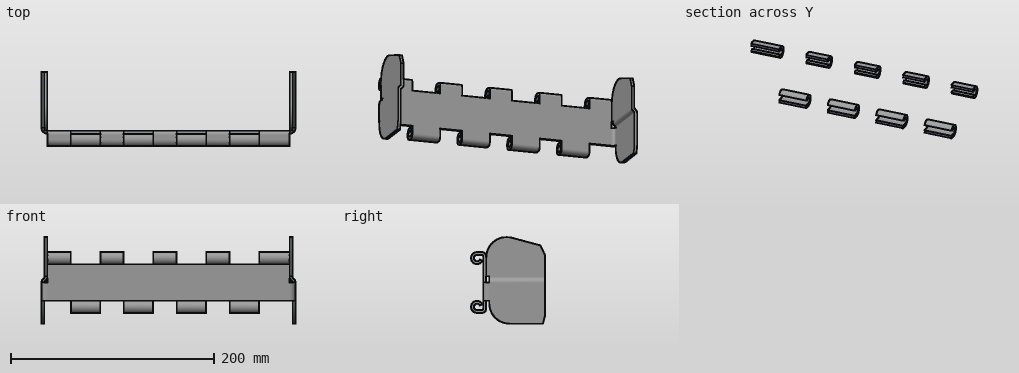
import cadquery as cq
import math


thickness = 3.0
tight_inner_radius = 1.0
tight_outer_radius = tight_inner_radius + thickness
fold_inner_radius = 3.0
fold_outer_radius = fold_inner_radius + thickness

overall_length = 250.0
overall_depth = 73.0
overall_height = 85.36
web_length = overall_length - 2 * fold_outer_radius
web_left = -web_length / 2

roll_inner_radius = 3.0
roll_outer_radius = roll_inner_radius + thickness
roll_tip_angle = 25.0
upper_knuckle_length = 23.0
lower_knuckle_length = 29.0
lower_knuckle_count = 4
knuckle_pitch = upper_knuckle_length + lower_knuckle_length
last_knuckle_length = web_length - lower_knuckle_count * knuckle_pitch
knuckle_span = 60.0
knuckle_edge = knuckle_span / 2
web_half_height = knuckle_edge - 2 * roll_outer_radius

ear_back = overall_depth - 2 * roll_outer_radius
ear_bottom = -40.6
ear_top = ear_bottom + overall_height
ear_clearance = 0.1
upper_ear_front = thickness + ear_clearance
lower_ear_front = fold_outer_radius
ear_corner_radius = 20.0
notch_top = 6.0
top_slope = 15.0
back_slope = 26.0
back_slope_start = 27.0
back_corner_radius = 2.0
bottom_chamfer_height = 8.0
bottom_chamfer_depth = 2.1

joggle_angle = math.radians(45.0)
joggle_offset = 3.0


def polar(center, radius, degrees):
    """Point at the given angle on a circle."""
    angle = math.radians(degrees)
    return (center[0] + radius * math.cos(angle), center[1] + radius * math.sin(angle))


def knuckle(x_start, length):
    """Rolled tab on the top edge of the web, starting at x_start."""
    corner = (thickness - tight_outer_radius, knuckle_edge - tight_outer_radius)
    roll = (-roll_outer_radius, knuckle_edge - roll_outer_radius)
    tip = 360 - roll_tip_angle
    middle = (90 + tip) / 2
    profile = (
        cq.Workplane("YZ", origin=(x_start, 0, 0))
        .moveTo(0, 0)
        .lineTo(thickness, 0)
        .lineTo(*polar(corner, tight_outer_radius, 0))
        .threePointArc(polar(corner, tight_outer_radius, 45), polar(corner, tight_outer_radius, 90))
        .lineTo(*polar(roll, roll_outer_radius, 90))
        .threePointArc(polar(roll, roll_outer_radius, middle), polar(roll, roll_outer_radius, tip))
        .lineTo(*polar(roll, roll_inner_radius, tip))
        .threePointArc(polar(roll, roll_inner_radius, middle), polar(roll, roll_inner_radius, 90))
        .lineTo(*polar(corner, tight_inner_radius, 90))
        .threePointArc(polar(corner, tight_inner_radius, 45), polar(corner, tight_inner_radius, 0))
        .close()
    )
    return profile.extrude(length)


def web_with_knuckles():
    """Flat web with five knuckles on top and four between them at the bottom."""
    body = cq.Workplane("XY").box(
        web_length, thickness, 2 * web_half_height, centered=(True, False, True)
    )
    for index in range(lower_knuckle_count):
        upper_start = web_left + index * knuckle_pitch
        lower_start = upper_start + upper_knuckle_length
        body = body.union(knuckle(upper_start, upper_knuckle_length))
        body = body.union(knuckle(lower_start, lower_knuckle_length).mirror("XY"))
    last_start = web_left + lower_knuckle_count * knuckle_pitch
    return body.union(knuckle(last_start, last_knuckle_length))


def left_fold():
    """Quarter bend joining the lower half of the web to the left ear."""
    center = (web_left, fold_outer_radius)
    return (
        cq.Workplane("XY", origin=(0, 0, -web_half_height))
        .moveTo(*polar(center, fold_outer_radius, 180))
        .threePointArc(polar(center, fold_outer_radius, 225), polar(center, fold_outer_radius, 270))
        .lineTo(*polar(center, fold_inner_radius, 270))
        .threePointArc(polar(center, fold_inner_radius, 225), polar(center, fold_inner_radius, 180))
        .close()
        .extrude(web_half_height)
    )


def ear_outline():
    """Solid with the side outline of the ear, spanning the whole length in X."""
    slope = math.radians(top_slope)
    lean = math.radians(back_slope)
    upper_arc = (upper_ear_front + ear_corner_radius, ear_top - ear_corner_radius)
    lower_arc = (lower_ear_front + ear_corner_radius, ear_bottom + ear_corner_radius)
    slope_start = polar(upper_arc, ear_corner_radius, 90 - top_slope)
    slope_height_at_back = slope_start[1] - (ear_back - slope_start[0]) * math.tan(slope)
    rise = (slope_height_at_back - back_slope_start) / (1 - math.tan(lean) * math.tan(slope))
    back_corner = (ear_back - rise * math.tan(lean), back_slope_start + rise)
    outline = (
        cq.Workplane("YZ", origin=(-overall_length / 2, 0, 0))
        .moveTo(lower_ear_front, lower_arc[1])
        .lineTo(lower_ear_front, notch_top)
        .lineTo(upper_ear_front, notch_top)
        .lineTo(upper_ear_front, upper_arc[1])
        .threePointArc(polar(upper_arc, ear_corner_radius, 135), slope_start)
        .lineTo(*back_corner)
        .lineTo(ear_back, back_slope_start)
        .lineTo(ear_back, ear_bottom + bottom_chamfer_height)
        .lineTo(ear_back - bottom_chamfer_depth, ear_bottom)
        .lineTo(lower_arc[0], ear_bottom)
        .threePointArc(polar(lower_arc, ear_corner_radius, 225), (lower_ear_front, lower_arc[1]))
        .close()
        .extrude(overall_length)
    )
    rounded_edge = cq.selectors.NearestToPointSelector((0, *back_corner))
    return outline.edges(rounded_edge).fillet(back_corner_radius)


def left_joggled_sheet():
    """Sheet bent inwards and back upright, as deep as the ear."""
    x_lower = -overall_length / 2
    x_upper = x_lower + joggle_offset
    bend_sum = tight_outer_radius + tight_inner_radius
    straight_shift = joggle_offset - bend_sum * (1 - math.cos(joggle_angle))
    step_height = bend_sum * math.sin(joggle_angle) + straight_shift / math.tan(joggle_angle)
    turn = math.degrees(joggle_angle)
    lower_center = (x_lower + tight_outer_radius, 0)
    upper_center = (x_upper - tight_inner_radius, step_height)
    return (
        cq.Workplane("XZ")
        .moveTo(x_lower, ear_bottom)
        .lineTo(x_lower, 0)
        .threePointArc(
            polar(lower_center, tight_outer_radius, 180 - turn / 2),
            polar(lower_center, tight_outer_radius, 180 - turn),
        )
        .lineTo(*polar(upper_center, tight_inner_radius, -turn))
        .threePointArc(polar(upper_center, tight_inner_radius, -turn / 2), (x_upper, step_height))
        .lineTo(x_upper, ear_top)
        .lineTo(x_upper + thickness, ear_top)
        .lineTo(x_upper + thickness, step_height)
        .threePointArc(
            polar(upper_center, tight_outer_radius, -turn / 2),
            polar(upper_center, tight_outer_radius, -turn),
        )
        .lineTo(*polar(lower_center, tight_inner_radius, 180 - turn))
        .threePointArc(
            polar(lower_center, tight_inner_radius, 180 - turn / 2),
            (x_lower + thickness, 0),
        )
        .lineTo(x_lower + thickness, ear_bottom)
        .close()
        .extrude(-ear_back)
    )


left_end = left_joggled_sheet().intersect(ear_outline()).union(left_fold())
result = web_with_knuckles().union(left_end).union(left_end.mirror("YZ"))